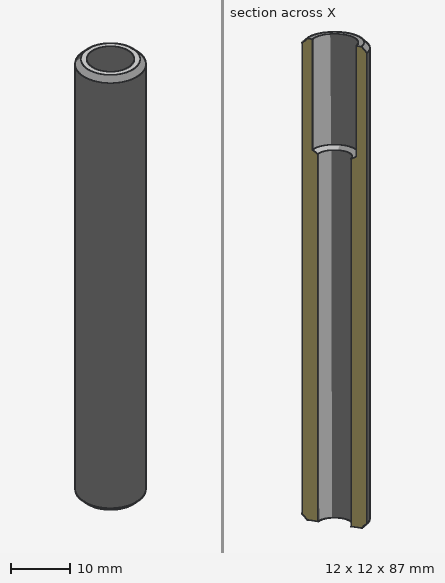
import cadquery as cq
import math

length = 87.0
outer_diameter = 12.0
end_chamfer = 1.0

through_hole_diameter = 6.0
wide_bore_diameter = 8.0
wide_bore_depth = 20.0
taper_included_angle = 118.0


def make_body():
    """Solid round bar standing on the XY plane, chamfered at both ends."""
    bar = cq.Workplane("XY").circle(outer_diameter / 2).extrude(length)
    return bar.faces("<Z or >Z").chamfer(end_chamfer)


def make_bore():
    """Stepped bore, revolved about Z from its half section."""
    through_radius = through_hole_diameter / 2
    wide_radius = wide_bore_diameter / 2
    half_angle = math.radians(taper_included_angle / 2)
    taper_height = (wide_radius - through_radius) / math.tan(half_angle)
    taper_top = length - wide_bore_depth
    half_section = [
        (0, 0),
        (through_radius, 0),
        (through_radius, taper_top - taper_height),
        (wide_radius, taper_top),
        (wide_radius, length),
        (0, length),
    ]
    return cq.Workplane("XZ").polyline(half_section).close().revolve(360, (0, 0), (0, 1))


result = make_body().cut(make_bore())